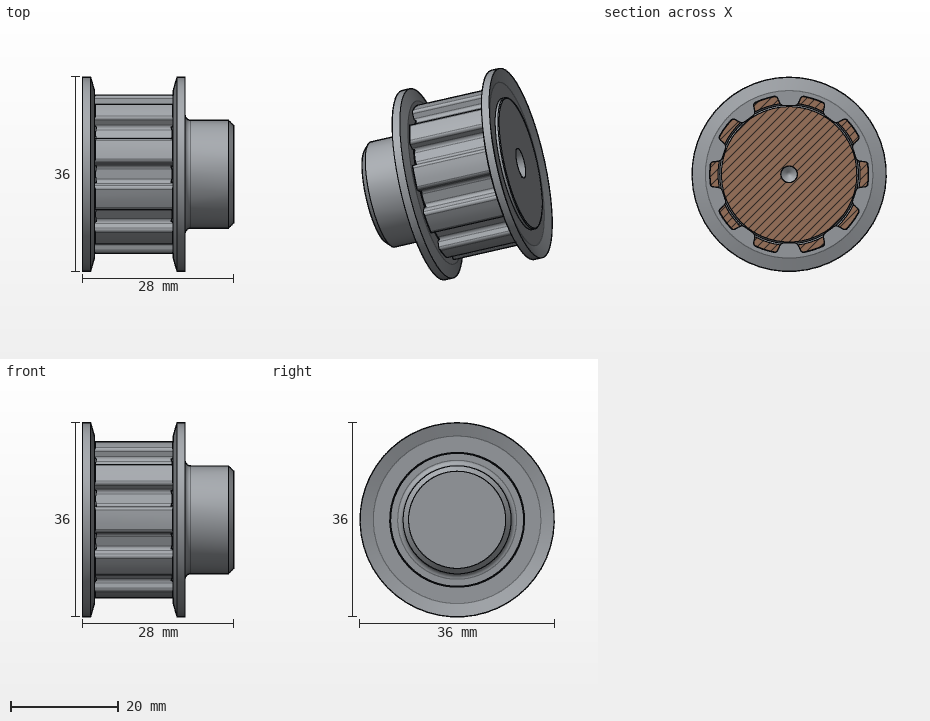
import cadquery as cq
import math

TOTAL_LENGTH = 28.0
PULLEY_WIDTH = 19.0

FLANGE_RADIUS = 18.0
FLANGE_FLAT_RADIUS = 15.5
FLANGE_THICKNESS = 1.5
FLANGE_DISH_ANGLE = 16.0
FLANGE_DISH = (FLANGE_RADIUS - FLANGE_FLAT_RADIUS) * math.tan(math.radians(FLANGE_DISH_ANGLE))
FLANGE_INNER_FACE = FLANGE_THICKNESS + FLANGE_DISH

RIM_RADIUS = 12.5
RIM_CHAMFER = 0.18

TOOTH_COUNT = 10
TIP_RADIUS = 14.72
ROOT_RADIUS = 12.7
GROOVE_FLOOR_HALF_WIDTH = 1.48
GROOVE_WALL_ANGLE = 25.0
ROOT_FILLET = 0.85
TIP_FILLET = 0.65
TOOTH_END_CHAMFER = 0.15
END_RELIEF_DEPTH = 0.35
BODY_WIDTH = PULLEY_WIDTH - 2 * FLANGE_INNER_FACE

HUB_RADIUS = 10.0
HUB_CHAMFER = 1.0
HUB_FILLET = 1.0

CENTRE_MOUTH_RADIUS = 2.8
CENTRE_PILOT_RADIUS = 1.5
CENTRE_CONE_HALF_ANGLE = 30.0
CENTRE_PILOT_LENGTH = 1.5
CENTRE_TIP_HALF_ANGLE = 60.0


def revolve_about_x(profile):
    """Turn an (x, radius) wire about the pulley axis."""
    return profile.close().revolve(360, (0, 0, 0), (1, 0, 0))


def mirror_to_other_end(solid):
    return solid.mirror("YZ", (PULLEY_WIDTH / 2, 0, 0))


def make_flange():
    points = [
        (FLANGE_DISH, 0),
        (FLANGE_DISH, FLANGE_FLAT_RADIUS),
        (0, FLANGE_RADIUS),
        (FLANGE_THICKNESS, FLANGE_RADIUS),
        (FLANGE_INNER_FACE, FLANGE_FLAT_RADIUS),
        (FLANGE_INNER_FACE, 0),
    ]
    return revolve_about_x(cq.Workplane("XZ").polyline(points))


def make_core_and_hub():
    """Core with a chamfered rim at each end, and the hub blending into the far rim."""
    profile = (
        cq.Workplane("XZ")
        .moveTo(0, 0)
        .lineTo(0, RIM_RADIUS - RIM_CHAMFER)
        .lineTo(RIM_CHAMFER, RIM_RADIUS)
        .lineTo(PULLEY_WIDTH - RIM_CHAMFER, RIM_RADIUS)
        .lineTo(PULLEY_WIDTH, RIM_RADIUS - RIM_CHAMFER)
        .lineTo(PULLEY_WIDTH, HUB_RADIUS + HUB_FILLET)
        .radiusArc((PULLEY_WIDTH + HUB_FILLET, HUB_RADIUS), -HUB_FILLET)
        .lineTo(TOTAL_LENGTH - HUB_CHAMFER, HUB_RADIUS)
        .lineTo(TOTAL_LENGTH, HUB_RADIUS - HUB_CHAMFER)
        .lineTo(TOTAL_LENGTH, 0)
    )
    return revolve_about_x(profile)


def make_tooth_groove():
    """Trapezoidal groove cutter along X, open outward at +Z."""
    top = TIP_RADIUS + TIP_FILLET
    wall_spread = (top - ROOT_RADIUS) * math.tan(math.radians(GROOVE_WALL_ANGLE))
    top_half_width = GROOVE_FLOOR_HALF_WIDTH + wall_spread
    return (
        cq.Workplane("YZ", origin=(FLANGE_INNER_FACE, 0, 0))
        .polyline([
            (-GROOVE_FLOOR_HALF_WIDTH, ROOT_RADIUS),
            (GROOVE_FLOOR_HALF_WIDTH, ROOT_RADIUS),
            (top_half_width, top),
            (-top_half_width, top),
        ])
        .close()
        .extrude(BODY_WIDTH)
        .edges("|X and <Z")
        .fillet(ROOT_FILLET)
    )


def make_end_relief():
    """Shallow V ring at the foot of the teeth, against the first flange."""
    points = [
        (FLANGE_INNER_FACE, RIM_RADIUS),
        (FLANGE_INNER_FACE + END_RELIEF_DEPTH, RIM_RADIUS + END_RELIEF_DEPTH),
        (FLANGE_INNER_FACE, RIM_RADIUS + 2 * END_RELIEF_DEPTH),
    ]
    return revolve_about_x(cq.Workplane("XZ").polyline(points))


def make_end_bevel():
    """Ring that bevels the tooth tips at the first flange."""
    points = [
        (FLANGE_INNER_FACE, TIP_RADIUS - TOOTH_END_CHAMFER),
        (FLANGE_INNER_FACE + TOOTH_END_CHAMFER, TIP_RADIUS),
        (FLANGE_INNER_FACE, TIP_RADIUS),
    ]
    return revolve_about_x(cq.Workplane("XZ").polyline(points))


def make_toothed_body():
    mid_tooth_radius = (ROOT_RADIUS + TIP_RADIUS) / 2
    body = cq.Workplane("YZ", origin=(FLANGE_INNER_FACE, 0, 0)).circle(TIP_RADIUS).extrude(BODY_WIDTH)
    groove = make_tooth_groove()
    for index in range(TOOTH_COUNT):
        body = body.cut(groove.rotate((0, 0, 0), (1, 0, 0), index * 360 / TOOTH_COUNT))
    body = (
        body.edges("|X")
        .filter(lambda edge: math.hypot(edge.Center().y, edge.Center().z) > mid_tooth_radius)
        .fillet(TIP_FILLET)
    )
    for ring in (make_end_relief(), make_end_bevel()):
        body = body.cut(ring).cut(mirror_to_other_end(ring))
    return body


def make_centre_hole():
    cone_depth = (CENTRE_MOUTH_RADIUS - CENTRE_PILOT_RADIUS) / math.tan(math.radians(CENTRE_CONE_HALF_ANGLE))
    pilot_end = cone_depth + CENTRE_PILOT_LENGTH
    tip_depth = pilot_end + CENTRE_PILOT_RADIUS / math.tan(math.radians(CENTRE_TIP_HALF_ANGLE))
    points = [
        (0, 0),
        (0, CENTRE_MOUTH_RADIUS),
        (cone_depth, CENTRE_PILOT_RADIUS),
        (pilot_end, CENTRE_PILOT_RADIUS),
        (tip_depth, 0),
    ]
    return revolve_about_x(cq.Workplane("XZ").polyline(points))


flange = make_flange()
result = (
    make_core_and_hub()
    .union(make_toothed_body())
    .union(flange)
    .union(mirror_to_other_end(flange))
    .cut(make_centre_hole())
)